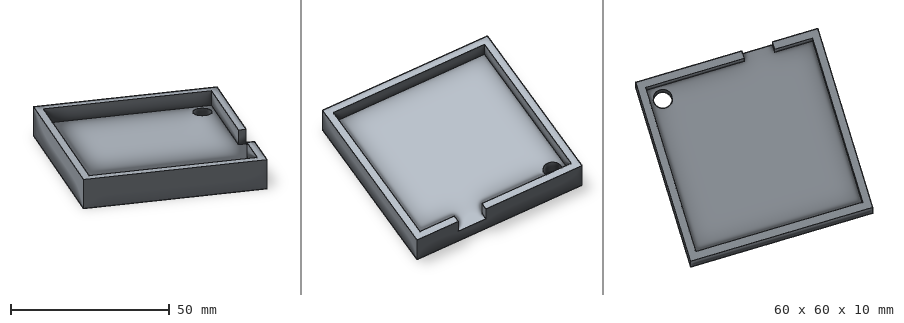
import cadquery as cq

side = 60.0
height = 10.0
wall = 2.5
floor = height / 2

hole_diameter = 6.0
hole_from_left = 6.9
hole_from_back = 6.65

notch_width = 10.0
notch_from_left = 35.0


def box_at(size_x, size_y, size_z, corner):
    """Box with its lowest corner at the given point."""
    return cq.Workplane("XY").box(size_x, size_y, size_z, centered=False).translate(corner)


body = box_at(side, side, height, (0, 0, 0))

inner_side = side - 2 * wall
cavity_depth = height - floor
cavity = box_at(inner_side, inner_side, cavity_depth, (wall, wall, floor))
notch = box_at(notch_width, wall, cavity_depth, (notch_from_left, side - wall, floor))

hole = (
    cq.Workplane("XY")
    .center(hole_from_left, side - hole_from_back)
    .circle(hole_diameter / 2)
    .extrude(height)
)

result = body.cut(cavity.union(notch)).cut(hole)